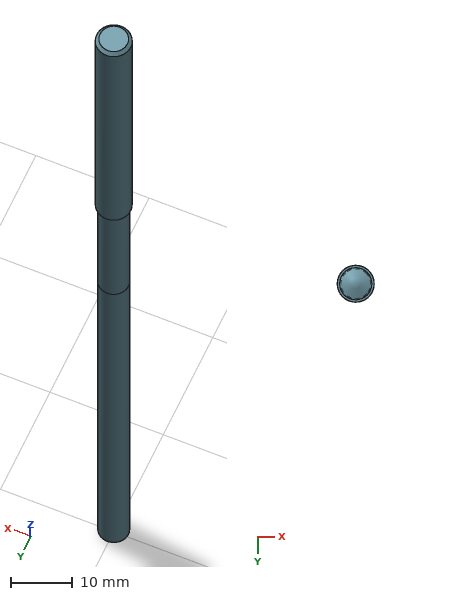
import cadquery as cq
import math


shank_diameter = 6.0
drill_diameter = 5.2
point_angle = 140.0
body_length = 154.0
shank_length = 52.0
neck_length = 24.0
chamfer_size = 0.6

shank_radius = shank_diameter / 2
drill_radius = drill_diameter / 2
point_height = drill_radius / math.tan(math.radians(point_angle / 2))
back_z = point_height + body_length
shoulder_z = back_z - shank_length
joint_z = shoulder_z - neck_length


def revolve_profile(points):
    """Revolve a closed (radius, z) outline a full turn about the Z axis."""
    return cq.Workplane("XZ").polyline(points).close().revolve(360, (0, 0), (0, 1))


def make_cutting_part():
    """Plain cylinder with a conical point, up to the joint with the shank."""
    return revolve_profile([
        (0, 0),
        (drill_radius, point_height),
        (drill_radius, joint_z),
        (0, joint_z),
    ])


def make_shank():
    """Neck at drill diameter, square shoulder, and full shank with a chamfered back end."""
    return revolve_profile([
        (0, joint_z),
        (drill_radius, joint_z),
        (drill_radius, shoulder_z),
        (shank_radius, shoulder_z),
        (shank_radius, back_z - chamfer_size),
        (shank_radius - chamfer_size, back_z),
        (0, back_z),
    ])


cutting_part = make_cutting_part()
shank = make_shank()

result = cq.Compound.makeCompound([cutting_part.val(), shank.val()])